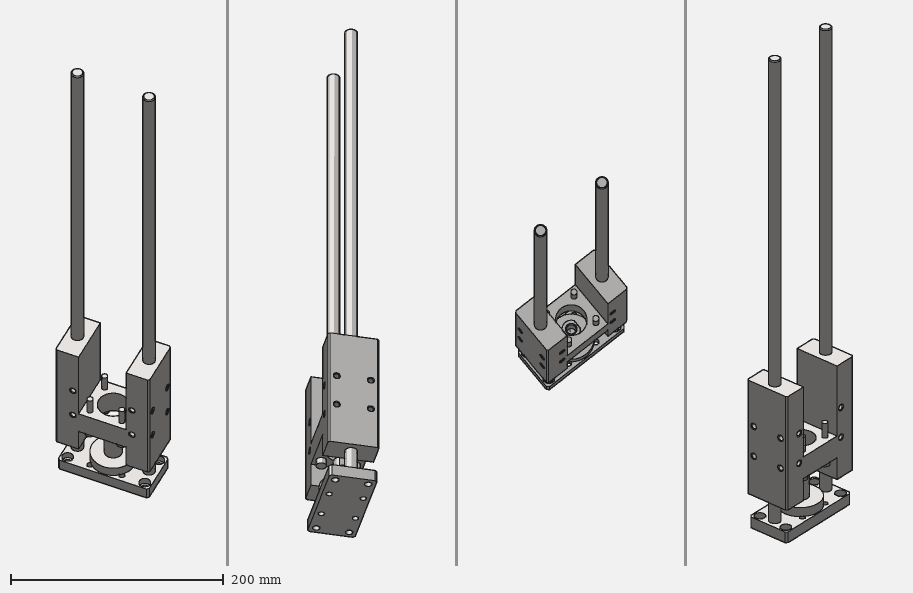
import cadquery as cq
import math

total_height = 522.0

housing_width = 97.0
housing_depth = 49.0
housing_bottom = 37.5
housing_height = 125.5
housing_corner_chamfer = 1.5
leg_gap = 49.0
bridge_bottom = 61.5
bridge_height = 24.0
bridge_bore_diameter = 30.0

tapped_diameter = 5.15
tapped_mouth_diameter = 7.0
tapped_depth = 10.0
drill_point_angle = 118.0
tapped_pitch = 33.0
tapped_lower_z = 81.5
front_hole_spacing = 61.0

screw_spacing = 33.0
screw_diameter = 6.0
screw_projection = 16.0
screw_head_diameter = 10.0
screw_head_height = 6.5

rod_diameter = 12.0
rod_spacing = 74.0
rod_end_chamfer = 1.0

plate_width = 94.0
plate_depth = 46.0
plate_thickness = 12.0
plate_corner_chamfer = 2.0
plate_hole_spacing_x = 80.0
plate_hole_spacing_y = 32.0
plate_hole_diameter = 7.0
counterbore_diameter = 11.0
counterbore_depth = 7.0
flange_hole_diameter = 6.0
flange_hole_spacing = screw_spacing

flange_diameter = 44.0
flange_height = 10.0
stud_diameter = 17.0
stud_height = 29.0
flat_width = 14.5
flat_height = 10.0
stud_bore_diameter = 9.0
stud_bore_mouth_diameter = 11.0
stud_bore_depth = 15.5

bridge_top = bridge_bottom + bridge_height
housing_top = housing_bottom + housing_height
flange_top = plate_thickness + flange_height
stud_top = flange_top + stud_height


def cylinder(diameter, height, bottom, x=0.0, y=0.0):
    """Upright cylinder standing at the height 'bottom'."""
    return cq.Workplane("XY", origin=(x, y, bottom)).circle(diameter / 2).extrude(height)


def box(width, depth, height, bottom):
    """Block centred on the Z axis, standing at the height 'bottom'."""
    return cq.Workplane("XY", origin=(0, 0, bottom)).rect(width, depth).extrude(height)


def drilled_hole(diameter, mouth_diameter, depth, entry, direction):
    """Blind hole with a 45 degree chamfer at its mouth and a conical drill point."""
    radius = diameter / 2
    mouth_radius = mouth_diameter / 2
    point_length = radius / math.tan(math.radians(drill_point_angle / 2))
    entry = cq.Vector(*entry)
    direction = cq.Vector(*direction)
    shank = cq.Solid.makeCylinder(radius, depth, entry, direction)
    point = cq.Solid.makeCone(radius, 0, point_length, entry + direction * depth, direction)
    mouth = cq.Solid.makeCone(mouth_radius, radius, mouth_radius - radius, entry, direction)
    return shank.fuse(point, mouth)


def tapped_hole(entry, direction):
    """Mounting hole going into the housing from the point 'entry'."""
    return drilled_hole(tapped_diameter, tapped_mouth_diameter, tapped_depth, entry, direction)


def make_housing():
    body = box(housing_width, housing_depth, housing_height, housing_bottom)
    body = body.edges("|Z").chamfer(housing_corner_chamfer)

    body = body.cut(box(leg_gap, housing_depth, bridge_bottom - housing_bottom, housing_bottom))
    body = body.cut(box(leg_gap, housing_depth, housing_top - bridge_top, bridge_top))
    body = body.cut(cylinder(bridge_bore_diameter, bridge_height, bridge_bottom))

    for side in (-1, 1):
        body = body.cut(cylinder(rod_diameter, housing_height, housing_bottom, side * rod_spacing / 2))

    for z in (tapped_lower_z, tapped_lower_z + tapped_pitch):
        for side in (-1, 1):
            for end in (-1, 1):
                face_entry = (side * front_hole_spacing / 2, end * housing_depth / 2, z)
                body = body.cut(tapped_hole(face_entry, (0, -end, 0)))
                side_entry = (side * housing_width / 2, end * tapped_pitch / 2, z)
                body = body.cut(tapped_hole(side_entry, (-side, 0, 0)))

    head_bottom = bridge_bottom - screw_head_height
    for x in (-screw_spacing / 2, screw_spacing / 2):
        for y in (-screw_spacing / 2, screw_spacing / 2):
            body = body.union(cylinder(screw_head_diameter, screw_head_height, head_bottom, x, y))
            shank_height = bridge_height + screw_projection
            body = body.union(cylinder(screw_diameter, shank_height, bridge_bottom, x, y))
    return body


def make_stud():
    stud = cylinder(stud_diameter, stud_height, flange_top)

    flats = box(2 * stud_diameter, stud_diameter, flat_height, stud_top - flat_height)
    flats = flats.cut(box(flat_width, stud_diameter, flat_height, stud_top - flat_height))
    stud = stud.cut(flats)
    bore = drilled_hole(
        stud_bore_diameter, stud_bore_mouth_diameter, stud_bore_depth, (0, 0, stud_top), (0, 0, -1)
    )
    return stud.cut(bore)


def make_slide():
    body = box(plate_width, plate_depth, plate_thickness, 0)
    body = body.edges("|Z").chamfer(plate_corner_chamfer)

    body = (
        body.faces(">Z").workplane()
        .rarray(plate_hole_spacing_x, plate_hole_spacing_y, 2, 2)
        .cboreHole(plate_hole_diameter, counterbore_diameter, counterbore_depth)
    )

    body = (
        body.faces(">Z").workplane()
        .rarray(flange_hole_spacing, flange_hole_spacing, 2, 2)
        .hole(flange_hole_diameter)
    )

    body = body.union(cylinder(flange_diameter, flange_height, plate_thickness))
    body = body.union(make_stud())

    for side in (-1, 1):
        rod_height = total_height - plate_thickness
        rod = cylinder(rod_diameter, rod_height, plate_thickness, side * rod_spacing / 2)
        body = body.union(rod.faces(">Z").chamfer(rod_end_chamfer))
    return body


housing = make_housing()
slide = make_slide()

result = cq.Compound.makeCompound([housing.val(), slide.val()])